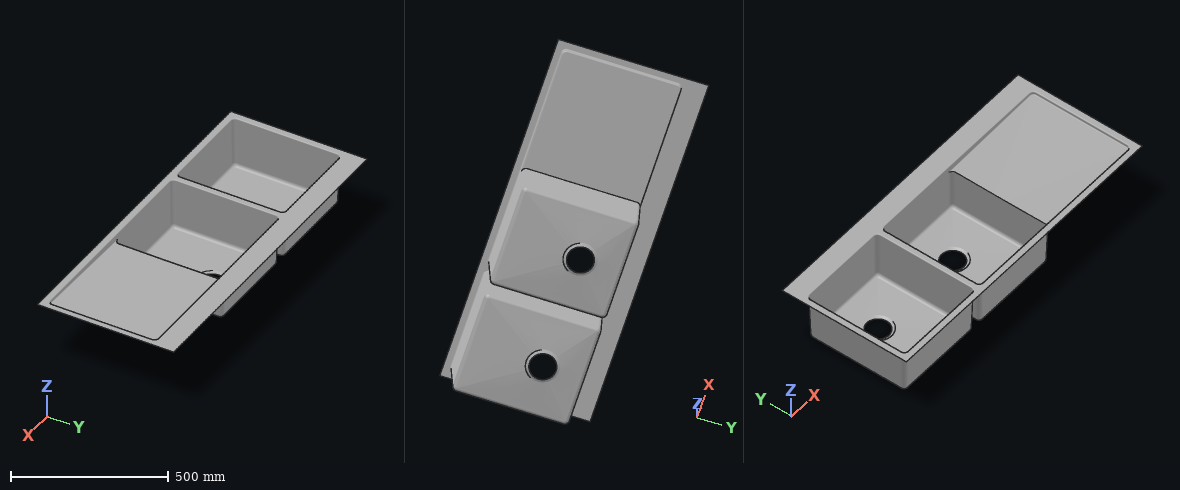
import cadquery as cq
import math


PLATE_LENGTH = 1208.0
PLATE_WIDTH = 504.0
SHEET = 1.0
TOTAL_HEIGHT = 200.0
RIM_RADIUS = 4.0

EDGE_MARGIN = 26.0
BACK_LEDGE = 80.5
WALL_DRAFT_ANGLE = 1.5
CORNER_RADIUS = 15.0
WALL_LEFT = EDGE_MARGIN - PLATE_LENGTH / 2
WALL_RIGHT = PLATE_LENGTH / 2 - EDGE_MARGIN
WALL_FRONT = EDGE_MARGIN - PLATE_WIDTH / 2
WALL_BACK = PLATE_WIDTH / 2 - BACK_LEDGE

BOWL_WIDTH = 358.0
BOWL_PITCH = 383.0
BOWL_COUNT = 2
BOWL_DEPTH = 184.0
FLOOR_RADIUS = 14.0
BOWL_LEFTS = [WALL_LEFT + i * BOWL_PITCH for i in range(BOWL_COUNT)]

DRAIN_Y = 26.0
DRAIN_RIM_RADIUS = 55.0
DRAIN_HOLE_RADIUS = 44.0
DRAIN_RIM_DEPTH = 194.5

DRAINER_LEFT = BOWL_LEFTS[-1] + BOWL_WIDTH
DRAINER_DEPTH = 25.0
DRAINER_SIDE_DEPTH = 24.0
DRAINER_END_DEPTH = 12.5
DRAINER_FLOOR_RADIUS = 3.0
FOLD_HALF_GAP = 27.0

HEADROOM = 20.0
DRAINER_BLOCK_DEPTH = 60.0
CUTTER = 2000.0

WALL_TOLERANCE = 3.0
PLANE_TOLERANCE = 0.01


def drafted_block(left, right, front, back, depth):
    """Block from the plate's top down to depth, narrowing by the wall draft."""
    centre = ((left + right) / 2, (front + back) / 2, 0)
    outline = cq.Workplane("XY", origin=centre).rect(right - left, back - front)
    return outline.extrude(-depth, taper=WALL_DRAFT_ANGLE)


def floor_funnel(corners, floor_z, centre, radius, rim_z):
    """Solid under a rectangular floor whose four sides run down to a round drain rim."""
    cx, cy = centre
    rim = []
    for x, y in corners:
        angle = math.atan2(y - cy, x - cx)
        rim.append(cq.Vector(cx + radius * math.cos(angle), cy + radius * math.sin(angle), rim_z))
    floor = [cq.Vector(x, y, floor_z) for x, y in corners]
    floor_edges = []
    rim_edges = []
    faces = []
    for i in range(len(corners)):
        j = (i + 1) % len(corners)
        start = math.atan2(rim[i].y - cy, rim[i].x - cx)
        sweep = (math.atan2(rim[j].y - cy, rim[j].x - cx) - start) % (2 * math.pi)
        middle = start + sweep / 2
        middle_point = cq.Vector(cx + radius * math.cos(middle), cy + radius * math.sin(middle), rim_z)
        floor_edges.append(cq.Edge.makeLine(floor[i], floor[j]))
        rim_edges.append(cq.Edge.makeThreePointArc(rim[i], middle_point, rim[j]))
        faces.append(cq.Face.makeRuledSurface(floor_edges[i], rim_edges[i]))
    faces.append(cq.Face.makeFromWires(cq.Wire.assembleEdges(floor_edges)))
    faces.append(cq.Face.makeFromWires(cq.Wire.assembleEdges(rim_edges)))
    return cq.Workplane(cq.Solid.makeSolid(cq.Shell.makeShell(faces)))


def bowl(left, offset):
    """Space inside a bowl, grown outwards by offset."""
    right = left + BOWL_WIDTH
    depth = BOWL_DEPTH + offset
    body = drafted_block(left - offset, right + offset, WALL_FRONT - offset, WALL_BACK + offset, depth)
    body = body.edges("not(#Z)").edges("not(|X or |Y)").fillet(CORNER_RADIUS + offset)
    body = body.faces("<Z").edges().fillet(FLOOR_RADIUS + offset)

    floor_inset = BOWL_DEPTH * math.tan(math.radians(WALL_DRAFT_ANGLE)) + FLOOR_RADIUS
    x0 = left + floor_inset
    x1 = right - floor_inset
    y0 = WALL_FRONT + floor_inset
    y1 = WALL_BACK - floor_inset
    centre = ((left + right) / 2, DRAIN_Y)
    corners = [(x0, y0), (x1, y0), (x1, y1), (x0, y1)]
    rim_radius = DRAIN_RIM_RADIUS + offset
    rim_z = -DRAIN_RIM_DEPTH - offset
    body = body.union(floor_funnel(corners, -depth, centre, rim_radius, rim_z))

    seat_depth = TOTAL_HEIGHT - DRAIN_RIM_DEPTH - SHEET
    seat = cq.Solid.makeCone(
        rim_radius,
        DRAIN_HOLE_RADIUS + offset,
        seat_depth,
        pnt=cq.Vector(*centre, rim_z),
        dir=cq.Vector(0, 0, -1),
    )
    return body.union(cq.Workplane(seat))


def below_plane(a, b, c):
    """Large block under the plane through three points given anticlockwise from above."""
    normal = (b - a).cross(c - a)
    plane = cq.Plane(origin=a, xDir=b - a, normal=normal)
    return cq.Workplane(plane).rect(CUTTER, CUTTER).extrude(-CUTTER)


def round_drainer_floor(block, offset):
    """Round the drainer floor into its front, back and right walls."""

    def is_floor_border(edge):
        box = edge.BoundingBox()
        below_top = box.zmax < -DRAINER_END_DEPTH / 2
        along_front = box.ymax < WALL_FRONT + WALL_TOLERANCE
        along_back = box.ymin > WALL_BACK - WALL_TOLERANCE
        along_right = box.xmin > WALL_RIGHT - CORNER_RADIUS - WALL_TOLERANCE
        runs_lengthwise = box.xmax > DRAINER_LEFT
        return below_top and runs_lengthwise and (along_front or along_back or along_right)

    border = [edge for edge in block.edges().vals() if is_floor_border(edge)]
    return block.newObject(border).fillet(DRAINER_FLOOR_RADIUS + offset)


def drainer(offset):
    """Space above the drainer floor, grown outwards by offset and reaching into the last bowl."""
    block_left = DRAINER_LEFT - BOWL_WIDTH / 2
    right = WALL_RIGHT + offset
    block = drafted_block(
        block_left, right, WALL_FRONT - offset, WALL_BACK + offset, DRAINER_BLOCK_DEPTH
    )
    block = block.faces(">X").edges("not(|Y)").fillet(CORNER_RADIUS + offset)

    middle_y = (WALL_FRONT + WALL_BACK) / 2
    fold_front = cq.Vector(DRAINER_LEFT, middle_y - FOLD_HALF_GAP, -DRAINER_DEPTH - offset)
    fold_back = cq.Vector(DRAINER_LEFT, middle_y + FOLD_HALF_GAP, -DRAINER_DEPTH - offset)
    side_front = cq.Vector(DRAINER_LEFT, WALL_FRONT, -DRAINER_SIDE_DEPTH - offset)
    side_back = cq.Vector(DRAINER_LEFT, WALL_BACK, -DRAINER_SIDE_DEPTH - offset)
    end_front = cq.Vector(WALL_RIGHT, WALL_FRONT, -DRAINER_END_DEPTH - offset)
    end_back = cq.Vector(WALL_RIGHT, WALL_BACK, -DRAINER_END_DEPTH - offset)
    block = block.cut(below_plane(fold_front, end_front, fold_back))
    block = block.cut(below_plane(side_front, end_front, fold_front))
    block = block.cut(below_plane(fold_back, end_back, side_back))
    return round_drainer_floor(block, offset)


def round_rim(body, offset):
    """Round the walls into the flat plate around every opening."""
    opening = cq.selectors.BoxSelector(
        (WALL_LEFT - RIM_RADIUS, WALL_FRONT - RIM_RADIUS, -offset - PLANE_TOLERANCE),
        (WALL_RIGHT + RIM_RADIUS, WALL_BACK + RIM_RADIUS, -offset + PLANE_TOLERANCE),
        boundingbox=True,
    )
    return body.edges(opening).fillet(RIM_RADIUS - offset)


def skin(offset):
    """Everything above the sheet's top face (offset 0) or above its underside (offset SHEET)."""
    hollow = drainer(offset)
    for left in BOWL_LEFTS:
        hollow = hollow.union(bowl(left, offset))
    above = cq.Workplane("XY", origin=(0, 0, -offset)).rect(PLATE_LENGTH, PLATE_WIDTH).extrude(HEADROOM)
    return round_rim(above.union(hollow), offset)


def drain_holes():
    """Through holes in the bottoms of the drain seats."""
    centres = [(left + BOWL_WIDTH / 2, DRAIN_Y) for left in BOWL_LEFTS]
    return cq.Workplane("XY").pushPoints(centres).circle(DRAIN_HOLE_RADIUS).extrude(-2 * TOTAL_HEIGHT)


result = skin(SHEET).cut(skin(0)).cut(drain_holes())